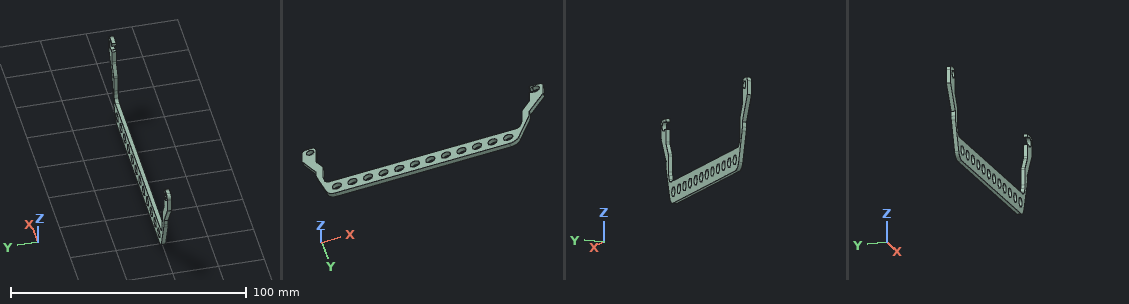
import cadquery as cq

overall_length = 108.5
overall_height = 38.4
thickness = 2.0

pad_outer_x = overall_length / 2
pad_width = 6.3
pad_inner_x = pad_outer_x - pad_width
neck_outer_x = pad_inner_x
neck_width = 3.3
neck_inner_x = neck_outer_x - neck_width

bar_height = 9.8
pad_outer_bottom_z = 30.35
neck_outer_top_z = 19.6
neck_outer_bottom_z = 16.6
pad_inner_bottom_z = 27.7
neck_inner_top_z = 22.0
neck_inner_bottom_z = 13.8

arm_lean = 0.34
bar_bottom_x = neck_outer_x - arm_lean * neck_outer_bottom_z
bar_top_x = neck_inner_x - arm_lean * (neck_inner_bottom_z - bar_height)

upper_elbow_radius = 2.0
lower_elbow_radius = 5.0
bar_bottom_radius = 4.5
bar_top_radius = 2.0
hole_pad_radius = 2.0
hook_pad_radius = 2.0

bar_hole_count = 12
bar_hole_pitch = 7.0
bar_hole_diameter = 4.0
bar_hole_z = bar_height / 2

pivot_x = 50.55
pivot_z = 35.3
pivot_diameter = 3.2
hook_seat_diameter = 4.0
hook_mouth_width = pivot_diameter


def arm_points():
    """Half outline on the +X side, from the bar's lower corner around to its upper corner."""
    return [
        (bar_bottom_x, 0),
        (neck_outer_x, neck_outer_bottom_z),
        (neck_outer_x, neck_outer_top_z),
        (pad_outer_x, pad_outer_bottom_z),
        (pad_outer_x, overall_height),
        (pad_inner_x, overall_height),
        (pad_inner_x, pad_inner_bottom_z),
        (neck_inner_x, neck_inner_top_z),
        (neck_inner_x, neck_inner_bottom_z),
        (bar_top_x, bar_height),
    ]


def extrude_through(sketch):
    """Extrude an XZ-plane sketch over the plate thickness, from Y = 0 to Y = thickness."""
    return sketch.extrude(-thickness)


def round_corners(body, corners, radius):
    """Fillet the through-thickness edges standing at the given (x, z) corners."""
    for x, z in corners:
        corner = cq.selectors.NearestToPointSelector((x, thickness / 2, z))
        body = body.edges("|Y").edges(corner).fillet(radius)
    return body


def make_plate():
    right_side = arm_points()
    left_side = [(-x, z) for x, z in reversed(right_side)]
    plate = extrude_through(cq.Workplane("XZ").polyline(right_side + left_side).close())

    bar_bottom_corners = [(-bar_bottom_x, 0), (bar_bottom_x, 0)]
    bar_top_corners = [(-bar_top_x, bar_height), (bar_top_x, bar_height)]
    upper_elbows = []
    lower_elbows = []
    for side in (-1, 1):
        upper_elbows.append((side * pad_inner_x, pad_inner_bottom_z))
        upper_elbows.append((side * neck_inner_x, neck_inner_top_z))
        lower_elbows.append((side * neck_inner_x, neck_inner_bottom_z))
        lower_elbows.append((side * neck_outer_x, neck_outer_bottom_z))
    hole_pad_corners = [(-pad_outer_x, overall_height), (-pad_inner_x, overall_height)]
    hook_pad_corners = [(pad_outer_x, overall_height)]

    plate = round_corners(plate, bar_bottom_corners, bar_bottom_radius)
    plate = round_corners(plate, bar_top_corners, bar_top_radius)
    plate = round_corners(plate, upper_elbows, upper_elbow_radius)
    plate = round_corners(plate, lower_elbows, lower_elbow_radius)
    plate = round_corners(plate, hole_pad_corners, hole_pad_radius)
    return round_corners(plate, hook_pad_corners, hook_pad_radius)


def make_bar_holes():
    row = cq.Workplane("XZ").center(0, bar_hole_z).rarray(bar_hole_pitch, 1, bar_hole_count, 1)
    return extrude_through(row.circle(bar_hole_diameter / 2))


def make_pivot_hole():
    return extrude_through(cq.Workplane("XZ").center(-pivot_x, pivot_z).circle(pivot_diameter / 2))


def make_hook_opening():
    """Round seat with a narrower mouth opening toward the middle of the bracket."""
    seat = extrude_through(cq.Workplane("XZ").center(pivot_x, pivot_z).circle(hook_seat_diameter / 2))
    mouth_length = pivot_x - pad_inner_x
    mouth_center_x = pivot_x - mouth_length / 2
    mouth_sketch = cq.Workplane("XZ").center(mouth_center_x, pivot_z).rect(mouth_length, hook_mouth_width)
    return seat.union(extrude_through(mouth_sketch))


result = make_plate().cut(make_bar_holes()).cut(make_pivot_hole()).cut(make_hook_opening())